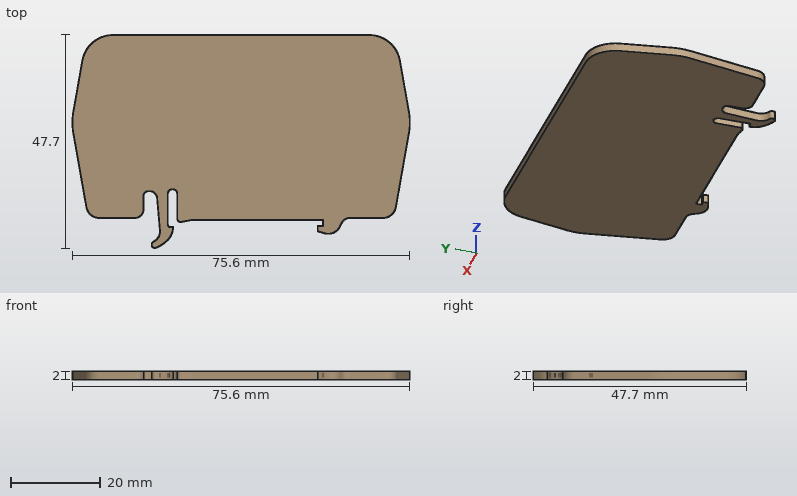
import cadquery as cq
import math

thickness = 2.0
overall_width = 75.6
plate_height = 41.0
side_angle = math.radians(10)
side_corner_y = 21.4
side_radius = 12.0
top_radius = 7.0
bottom_radius = 3.0

seat_y = -0.47
seat_right = 18.3
seat_lip_y = -1.06
seat_lip_length = 3.1
seat_lip_radius = 0.75

outer_slot_left = -21.8
outer_slot_top = 6.0
outer_slot_left_radius = 1.0
outer_slot_right_radius = 1.6
outer_slot_mouth_radius = 2.0
inner_slot_left = -16.4
inner_slot_width = 2.1
inner_slot_top = 6.45
inner_slot_right = inner_slot_left + inner_slot_width

arm_angle = math.radians(5)
arm_outer_x = -18.43
arm_outer_end_y = -2.75
barb_y = -1.95
barb_x = -15.2
barb_root_x = -16.1
barb_root_start_y = -1.2
barb_root_middle = (-16.33, -1.6)
tip_center = (-19.3, -5.95)
tip_radius = 0.75
tip_start_angle = math.radians(112)
tip_end_angle = math.radians(293)
tip_middle_angle = (tip_start_angle + tip_end_angle) / 2
outer_curve_joint = (-16.5, -5.0)

hook_ledge_y = -1.75
hook_tip_x = 17.1
hook_tip_bottom_y = -2.95
hook_belly_slope = math.tan(math.radians(17))
hook_belly_radius = 2.9
hook_flank_slope = math.tan(math.radians(62))
hook_flank_top_x = 23.12
hook_flare_radius = 1.9


def arm_x(y):
    """X of the arm's leaning outer edge at height y."""
    return arm_outer_x - y * math.tan(arm_angle)


def tip_point(angle):
    """Point on the rounded tip of the latch."""
    return (
        tip_center[0] + tip_radius * math.cos(angle),
        tip_center[1] + tip_radius * math.sin(angle),
    )


def fillet_at(solid, x, y, radius):
    """Round the upright edge nearest to (x, y)."""
    edge = cq.selectors.NearestToPointSelector((x, y, thickness / 2))
    return solid.edges("|Z").edges(edge).fillet(radius)


def make_plate():
    """Plate with leaning sides and rounded corners."""
    side_x = overall_width / 2 + side_radius * (1 / math.cos(side_angle) - 1)
    top_x = side_x - (plate_height - side_corner_y) * math.tan(side_angle)
    bottom_x = side_x - side_corner_y * math.tan(side_angle)
    right_side = [(bottom_x, 0), (side_x, side_corner_y), (top_x, plate_height)]
    left_side = [(-x, y) for x, y in reversed(right_side)]
    plate = cq.Workplane("XY").polyline(right_side + left_side).close().extrude(thickness)
    for (x, y), radius in zip(right_side, (bottom_radius, side_radius, top_radius)):
        plate = fillet_at(plate, x, y, radius)
        plate = fillet_at(plate, -x, y, radius)
    return plate


def make_seat():
    """Strip below the plate with a rounded lip beside the latch."""
    outline = [
        (inner_slot_right, 0),
        (inner_slot_right, seat_lip_y),
        (inner_slot_right + seat_lip_length, seat_y),
        (seat_right, seat_y),
        (seat_right, 0),
    ]
    seat = cq.Workplane("XY").polyline(outline).close().extrude(thickness)
    return fillet_at(seat, inner_slot_right, seat_lip_y, seat_lip_radius)


def make_outer_slot():
    """Cutter for the slot outside the latch arm, up to the arm's leaning edge."""
    top_right_x = arm_x(outer_slot_top)
    outline = [
        (outer_slot_left, 0),
        (outer_slot_left, outer_slot_top),
        (top_right_x, outer_slot_top),
        (arm_outer_x, 0),
    ]
    slot = cq.Workplane("XY").polyline(outline).close().extrude(thickness)
    slot = fillet_at(slot, outer_slot_left, outer_slot_top, outer_slot_left_radius)
    return fillet_at(slot, top_right_x, outer_slot_top, outer_slot_right_radius)


def make_inner_slot():
    """Cutter for the round-ended slot between the latch arm and the seat."""
    radius = inner_slot_width / 2
    return (
        cq.Workplane("XY")
        .moveTo(inner_slot_left, 0)
        .lineTo(inner_slot_left, inner_slot_top - radius)
        .threePointArc(
            (inner_slot_left + radius, inner_slot_top),
            (inner_slot_right, inner_slot_top - radius),
        )
        .lineTo(inner_slot_right, 0)
        .close()
        .extrude(thickness)
    )


def make_latch():
    """Part of the latch arm below the plate, with its barb and curled tip."""
    return (
        cq.Workplane("XY")
        .moveTo(arm_outer_x, 0)
        .lineTo(arm_x(arm_outer_end_y), arm_outer_end_y)
        .tangentArcPoint(tip_point(tip_start_angle), relative=False)
        .threePointArc(tip_point(tip_middle_angle), tip_point(tip_end_angle))
        .tangentArcPoint(outer_curve_joint, relative=False)
        .tangentArcPoint((barb_x, barb_y), relative=False)
        .lineTo(barb_root_x, barb_y)
        .threePointArc(barb_root_middle, (inner_slot_left, barb_root_start_y))
        .lineTo(inner_slot_left, 0)
        .close()
        .extrude(thickness)
    )


def make_hook():
    """Fixed hook whose tip points toward the latch."""
    belly_x = (
        hook_tip_bottom_y + hook_belly_slope * hook_tip_x + hook_flank_slope * hook_flank_top_x
    ) / (hook_belly_slope + hook_flank_slope)
    belly_y = hook_flank_slope * (belly_x - hook_flank_top_x)
    outline = [
        (seat_right, 0),
        (seat_right, hook_ledge_y),
        (hook_tip_x, hook_ledge_y),
        (hook_tip_x, hook_tip_bottom_y),
        (belly_x, belly_y),
        (hook_flank_top_x, 0),
    ]
    hook = cq.Workplane("XY").polyline(outline).close().extrude(thickness)
    return fillet_at(hook, belly_x, belly_y, hook_belly_radius)


result = make_plate().cut(make_outer_slot()).cut(make_inner_slot())
result = fillet_at(result, outer_slot_left, 0, outer_slot_mouth_radius)
result = result.union(make_seat()).union(make_latch()).union(make_hook()).clean()
result = fillet_at(result, hook_flank_top_x, 0, hook_flare_radius)